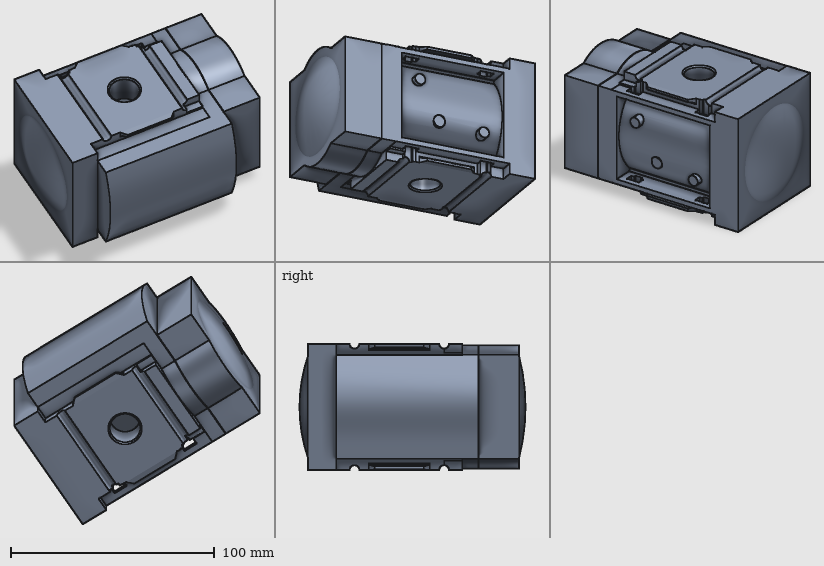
import cadquery as cq
import math

BODY = 62.0
HALF = BODY / 2
FRONT_FACE = -44.85
BACK_FACE = 58.85
COVER_BACK = 38.75
SEAM_WIDTH = 0.2
SEAM_DEPTH = 0.1
LOW_HALF = 25.5

DOME_RADIUS = 25.0
FRONT_DOME_RISE = 4.2
BACK_DOME_RISE = 3.18

CROWN_RADIUS = 25.0
CROWN_TOP = 30.4

COVER_FLAT = 39.8
COVER_TOP = 44.8

STEP_FLOOR = 25.45
PAD_HALF_WIDTH = 24.0
CORNER_NOTCH_WIDTH = 4.0
CORNER_NOTCH_START = 22.1
CORNER_NOTCH_FLOOR = 26.5
GROOVE_RADIUS = 2.35
GROOVE_OFFSET = 22.0

PORT_DIAMETER = 14.95
PORT_CHAMFER = 0.8
PORT_DEPTH = 15.0

RAIL_HALF_LENGTH = 14.9
RAIL_REACH = 2.9
RAIL_SECTION = [(0, HALF), (RAIL_REACH, 30.65), (RAIL_REACH, 29.95), (2.8, 29.2), (0.5, 28.5), (0, 27.7)]

WINDOW_HALF_LENGTH = 27.85
WINDOW_HALF_HEIGHT = 22.75
BARREL_RADIUS = 29.0
BARREL_HALF_CHORD = 20.7
CHANNEL_RADIUS = 0.85

PIN_DIAMETER = 5.5
PIN_END = -30.2
PINS = [(17.4, 10.9), (-17.4, -11.0)]
BUTTON_DIAMETER = 6.2
BUTTON_FACE = -28.0
BUTTON_CENTRE = (5.9, -8.6)

SLOT_OFFSET = 20.45
SLOT_OUTER = -27.6
SLOT_STEP = -23.8
SLOT_INNER = -22.5
SLOT_WIDE = 7.1
SLOT_NARROW = 3.9


def box(x0, x1, y0, y1, z0, z1):
    """Box between two opposite corners."""
    return cq.Workplane("XY").box(x1 - x0, y1 - y0, z1 - z0, centered=False).translate((x0, y0, z0))


def rod_x(radius, x0, x1, y, z):
    """Cylinder along X."""
    return cq.Workplane("YZ", origin=(x0, y, z)).circle(radius).extrude(x1 - x0)


def rod_y(radius, y0, y1, x, z):
    """Cylinder along Y."""
    return cq.Workplane("XZ", origin=(x, y0, z)).circle(radius).extrude(y0 - y1)


def both_ends(shape):
    """The shape together with its mirror image below Z = 0."""
    return shape.union(shape.mirror("XY"))


def both_sides(shape):
    """The shape together with its mirror image across X = 0."""
    return shape.union(shape.mirror("YZ"))


def dome_sphere_radius(rise):
    """Sphere radius of a cap with the given rise over the dome's base circle."""
    return (DOME_RADIUS**2 + rise**2) / (2 * abs(rise))


def dome(face, rise):
    """Spherical cap on an end face; a negative rise points toward -Y."""
    outline = (
        cq.Workplane("XY")
        .moveTo(0, face)
        .lineTo(DOME_RADIUS, face)
        .radiusArc((0, face + rise), math.copysign(dome_sphere_radius(rise), -rise))
        .close()
    )
    return outline.revolve(360, (0, 0, 0), (0, 1, 0))


def back_section(y0, y1, inset=0.0):
    """Slice of the back section: low block with a crown above and below, shrunk by the inset."""
    half_width = HALF - inset
    half_height = LOW_HALF - inset
    block = box(-half_width, half_width, y0, y1, -half_height, half_height)
    crown = rod_y(CROWN_RADIUS - inset, y0, y1, 0, CROWN_TOP - CROWN_RADIUS)
    return block.union(both_ends(crown))


def seam():
    """Shallow seam groove in front of the back cap."""
    seam_end = COVER_BACK + SEAM_WIDTH
    return back_section(COVER_BACK, seam_end).cut(back_section(COVER_BACK, seam_end, SEAM_DEPTH))


def cover():
    """Side cover on the +X face with a curved outer surface."""
    outline = (
        cq.Workplane("XZ", origin=(0, -HALF, 0))
        .moveTo(HALF, -LOW_HALF)
        .lineTo(COVER_FLAT, -LOW_HALF)
        .threePointArc((COVER_TOP, 0), (COVER_FLAT, LOW_HALF))
        .lineTo(HALF, LOW_HALF)
        .close()
    )
    return outline.extrude(-(COVER_BACK + HALF))


def side_step():
    return box(PAD_HALF_WIDTH, HALF, -HALF, HALF, STEP_FLOOR, HALF)


def corner_notch():
    return box(
        PAD_HALF_WIDTH - CORNER_NOTCH_WIDTH, PAD_HALF_WIDTH, CORNER_NOTCH_START, HALF, CORNER_NOTCH_FLOOR, HALF
    )


def pad_groove(y):
    """Round-bottomed groove across the pad."""
    return rod_x(GROOVE_RADIUS, -PAD_HALF_WIDTH, PAD_HALF_WIDTH, y, HALF)


def rail():
    """Rail along the side of the pad, with mitred ends."""
    section = [(PAD_HALF_WIDTH + out, z) for out, z in RAIL_SECTION]
    bar = cq.Workplane("XZ").polyline(section).close().extrude(RAIL_HALF_LENGTH, both=True)
    tip = PAD_HALF_WIDTH + RAIL_REACH
    tip_half_length = RAIL_HALF_LENGTH - RAIL_REACH
    plan = [
        (PAD_HALF_WIDTH, -RAIL_HALF_LENGTH),
        (tip, -tip_half_length),
        (tip, tip_half_length),
        (PAD_HALF_WIDTH, RAIL_HALF_LENGTH),
    ]
    return bar.intersect(cq.Workplane("XY").polyline(plan).close().extrude(HALF))


def port():
    """Blind port with a chamfered mouth."""
    bore_radius = PORT_DIAMETER / 2
    mouth_radius = bore_radius + PORT_CHAMFER
    floor = HALF - PORT_DEPTH
    outline = [
        (0, floor),
        (bore_radius, floor),
        (bore_radius, HALF - PORT_CHAMFER),
        (mouth_radius, HALF),
        (0, HALF),
    ]
    return cq.Workplane("XZ").polyline(outline).close().revolve(360, (0, 0, 0), (0, 1, 0))


def window():
    """Side window that leaves a barrel standing, with a round channel along each long edge."""
    length = WINDOW_HALF_LENGTH
    floor = -math.sqrt(BARREL_RADIUS**2 - BARREL_HALF_CHORD**2)
    opening = box(-HALF, floor, -length, length, -WINDOW_HALF_HEIGHT, WINDOW_HALF_HEIGHT)
    barrel = rod_y(BARREL_RADIUS, -length, length, 0, 0)
    channel_height = (WINDOW_HALF_HEIGHT + BARREL_HALF_CHORD) / 2
    channel = rod_y(CHANNEL_RADIUS, -length, length, floor, channel_height)
    barrel_core = box(-HALF, 0, -length, length, -BARREL_HALF_CHORD, BARREL_HALF_CHORD)
    return opening.cut(barrel.intersect(barrel_core)).union(both_ends(channel))


def t_slot(y):
    """T-shaped slot from the pad surface down into the window."""
    wide = box(SLOT_OUTER, SLOT_STEP, y - SLOT_WIDE / 2, y + SLOT_WIDE / 2, BARREL_HALF_CHORD, HALF)
    narrow = box(SLOT_STEP, SLOT_INNER, y - SLOT_NARROW / 2, y + SLOT_NARROW / 2, BARREL_HALF_CHORD, HALF)
    return wide.union(narrow)


def build():
    part = box(-HALF, HALF, FRONT_FACE, HALF, -HALF, HALF)
    part = part.union(back_section(HALF, BACK_FACE))
    part = part.cut(seam())
    part = part.union(cover())
    part = part.union(dome(FRONT_FACE, -FRONT_DOME_RISE))
    part = part.union(dome(BACK_FACE, BACK_DOME_RISE))

    part = part.cut(both_ends(both_sides(side_step())))
    part = part.cut(both_ends(both_sides(corner_notch())))
    part = part.union(both_ends(both_sides(rail())))
    part = part.cut(both_ends(port()))

    part = part.cut(window())
    for side in (-1, 1):
        part = part.cut(both_ends(pad_groove(side * GROOVE_OFFSET)))
        part = part.cut(both_ends(t_slot(side * SLOT_OFFSET)))

    for y, z in PINS:
        part = part.union(rod_x(PIN_DIAMETER / 2, PIN_END, 0, y, z))
    button_radius = BUTTON_DIAMETER / 2
    part = part.cut(rod_x(button_radius, -HALF, BUTTON_FACE, *BUTTON_CENTRE))
    part = part.union(rod_x(button_radius, BUTTON_FACE, 0, *BUTTON_CENTRE))
    return part


result = build()